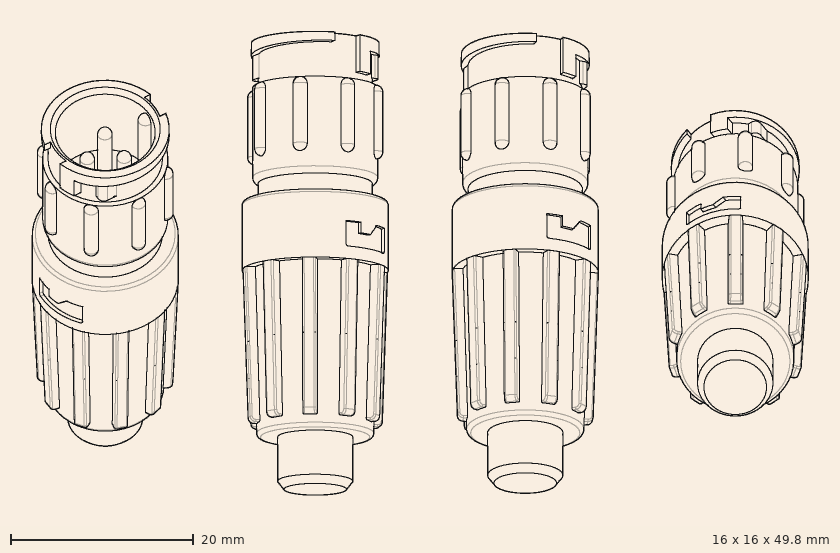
import cadquery as cq

total_height = 49.75

stem_radius = 4.15
stem_chamfer_height = 0.9
stem_chamfer_width = 0.7

grip_bottom = 5.8
grip_bottom_radius = 6.4
grip_top_radius = 6.95
grip_round = 0.45
grip_rib_count = 10
grip_rib_bottom = 7.15
grip_rib_bottom_radius = 7.4
grip_rib_root_width = 1.7
grip_rib_crest_width = 1.4
grip_rib_root_depth = 1.3
grip_rib_end_round = 0.6
grip_rib_side_round = 0.2

body_bottom = 24.35
body_top = 32.05
body_radius = 8.0
body_round = 0.35

recess_left = -0.85
recess_right = 5.1
recess_bottom = 25.75
recess_top = 28.6
recess_step = 27.4
recess_step_left = 1.05
recess_step_right = 2.5
recess_ramp_end = 3.55
recess_depth = 0.45
recess_corner_round = 0.25

shell_radius = 6.25
bore_radius = 5.45
bore_chamfer = 0.55
bore_depth = 9.95
bore_floor = total_height - bore_depth

ring_bottom = 34.05
ring_top = 44.75
ring_radius = 6.85
ring_round = 0.7
ring_rib_count = 8
ring_rib_radius = 0.8
ring_rib_center_radius = 6.8
ring_rib_bottom = 37.3
ring_rib_top = ring_top - ring_rib_radius

lip_radius = 7.0
lip_gap_width = 3.2
lip_thin = 0.95
lip_thick = 1.6
stop_width = 1.8
stop_bottom = 45.65
detent_reach_x = 5.85
detent_reach_y = 4.15
detent_round = 0.75

pin_radius = 0.8
pin_tip = 46.9
pin_centers = [(-2.0, 1.2), (2.0, 1.2), (0, -2.35)]
key_center = (0, 5.15)
key_tip = 48.8
mark_center = (-1.55, 3.6)
mark_radius = 0.15
mark_depth = 0.25


def cylinder(radius, bottom, top):
    return cq.Workplane("XY").workplane(offset=bottom).circle(radius).extrude(top - bottom)


def around_axis(shape, count):
    """Copies of a shape evenly spaced about Z, joined together."""
    copies = shape
    for index in range(1, count):
        copies = copies.union(shape.rotate((0, 0, 0), (0, 0, 1), index * 360 / count))
    return copies


def cone(lower_radius, upper_radius, bottom, top):
    lower = cq.Workplane("XY").workplane(offset=bottom).circle(lower_radius)
    return lower.workplane(offset=top - bottom).circle(upper_radius).loft()


def core():
    """Stem, grip, sleeve, plug shell and coupling ring, all round about Z."""
    stem_tip = cone(stem_radius - stem_chamfer_width, stem_radius, 0, stem_chamfer_height)
    stem = cylinder(stem_radius, stem_chamfer_height, grip_bottom)
    grip = cone(grip_bottom_radius, grip_top_radius, grip_bottom, body_bottom)
    grip = grip.faces("<Z").edges().fillet(grip_round)
    body = cylinder(body_radius, body_bottom, body_top).faces(">Z").edges().fillet(body_round)
    shell = cylinder(shell_radius, body_top, total_height)
    ring = cylinder(ring_radius, ring_bottom, ring_top).faces("<Z").edges().fillet(ring_round)
    return stem_tip.union(stem).union(grip).union(body).union(shell).union(ring)


def grip_ribs():
    """Tapered ribs whose crests lean inwards towards the stem."""
    def section(sketch, crest_radius):
        root_radius = crest_radius - grip_rib_root_depth
        return sketch.polyline([
            (root_radius, -grip_rib_root_width / 2),
            (crest_radius, -grip_rib_crest_width / 2),
            (crest_radius, grip_rib_crest_width / 2),
            (root_radius, grip_rib_root_width / 2),
        ]).close()

    lower = section(cq.Workplane("XY").workplane(offset=grip_rib_bottom), grip_rib_bottom_radius)
    upper = section(lower.workplane(offset=body_bottom - grip_rib_bottom), body_radius)
    rib = upper.loft(ruled=True).faces("<Z").edges(">X").fillet(grip_rib_end_round)
    exposed_side_edges = rib.faces("<Y or >Y").edges("not(<X or >Z)")
    rib = exposed_side_edges.fillet(grip_rib_side_round)
    first_rib = rib.rotate((0, 0, 0), (0, 0, 1), 90)
    return around_axis(first_rib, grip_rib_count)


def round_bar(radius, center, bottom, top):
    """Vertical bar between two ball centers, with a ball of the same radius at each end."""
    x, y = center
    bar = cylinder(radius, bottom, top)
    for height in (bottom, top):
        bar = bar.union(cq.Workplane("XY").sphere(radius).translate((0, 0, height)))
    return bar.translate((x, y, 0))


def ring_ribs():
    """Finger ribs evenly spaced around the coupling ring."""
    center = (ring_rib_center_radius, 0)
    rib = round_bar(ring_rib_radius, center, ring_rib_bottom, ring_rib_top)
    return around_axis(rib, ring_rib_count)


def bayonet_lips():
    """Flange halves with a sloping underside, an end stop and a small rounded detent."""
    gap_edge = lip_gap_width / 2
    lip = (
        cq.Workplane("YZ")
        .workplane(offset=gap_edge)
        .polyline([
            (-lip_radius, total_height),
            (-lip_radius, total_height - lip_thick),
            (lip_radius, total_height - lip_thin),
            (lip_radius, total_height),
        ])
        .close()
        .extrude(lip_radius)
    )
    stop = cq.Workplane("XY").box(
        stop_width, lip_radius, total_height - stop_bottom, centered=False
    ).translate((gap_edge, -lip_radius, stop_bottom))
    envelope = cylinder(lip_radius, stop_bottom, total_height)

    detent = cq.Workplane("XY").box(
        detent_reach_x, detent_reach_y, total_height - lip_thin - stop_bottom, centered=False
    ).translate((0, -detent_reach_y, stop_bottom))
    detent = detent.edges("|Z and >X and <Y").fillet(detent_round)
    return around_axis(lip.union(stop).intersect(envelope).union(detent), 2)


def body_recesses():
    """Two shallow J-shaped pockets with a curved floor."""
    outline = (
        cq.Workplane("XZ")
        .polyline([
            (recess_left, recess_bottom),
            (recess_right, recess_bottom),
            (recess_right, recess_top),
            (recess_ramp_end, recess_top),
            (recess_step_right, recess_step),
            (recess_step_left, recess_step),
            (recess_step_left, recess_top),
            (recess_left, recess_top),
        ])
        .close()
        .extrude(body_radius)
        .edges("|Y and <Z")
        .fillet(recess_corner_round)
    )
    floor = cylinder(body_radius - recess_depth, body_bottom, body_top)
    return around_axis(outline.cut(floor), 2)


def bore():
    """Blind socket with a chamfered mouth."""
    straight = cylinder(bore_radius, bore_floor, total_height)
    mouth = cone(bore_radius, bore_radius + bore_chamfer, total_height - bore_chamfer, total_height)
    return straight.union(mouth)


def contacts():
    """Ball-ended pins and the half-round key on the bore wall."""
    bars = round_bar(pin_radius, key_center, bore_floor, key_tip - pin_radius)
    for center in pin_centers:
        bars = bars.union(round_bar(pin_radius, center, bore_floor, pin_tip - pin_radius))
    return bars


index_mark = cylinder(mark_radius, bore_floor - mark_depth, bore_floor).translate((*mark_center, 0))

result = core().union(grip_ribs()).union(ring_ribs()).union(bayonet_lips())
result = result.cut(body_recesses()).cut(bore()).union(contacts()).cut(index_mark)